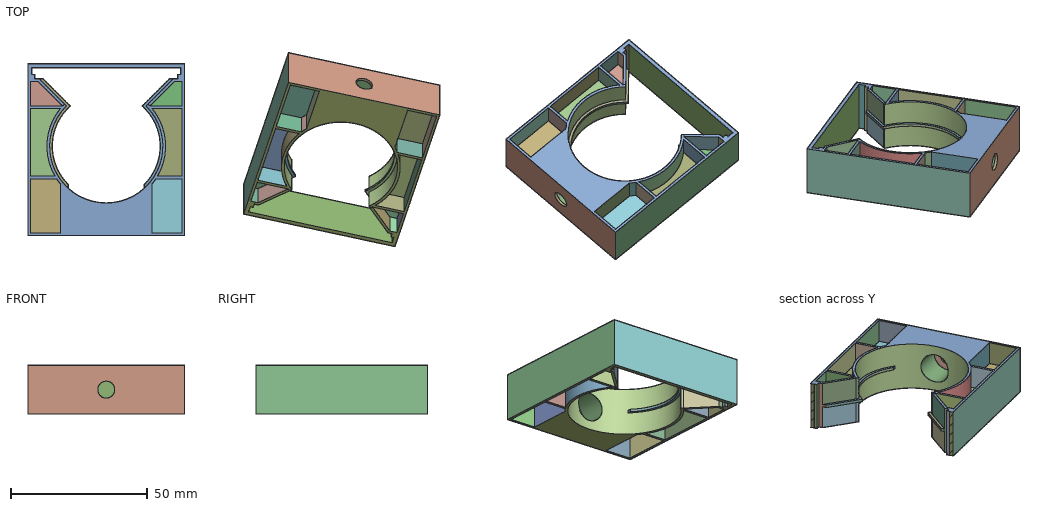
import cadquery as cq
import math

width = 57.5
length = 63.0
height = 18.0
half_width = width / 2

wall = 1.0
back_wall = 1.5
web_thickness = 1.0
web_bottom = (height - web_thickness) / 2
web_top = web_bottom + web_thickness

bore_radius = 20.75
bore_center_y = 32.75
lip_width = 1.0
lip_end_x = 13.9

notch_front_y = length - 3.9
notch_half_width = half_width - 1.5
opening_front_y = length - 5.5
opening_half_width = half_width - 2.6
lead_in_half_width = half_width - 4.15

pocket_half_width = half_width - wall
rear_rib_front_y = 46.5
front_rib_front_y = 20.8
front_pocket_inner_x = 16.75

hole_diameter = 6.2
head_diameter = 11.0
head_seat_y = 1.0


def prism(points, z_bottom, z_top):
    """Extruded polygon between two heights."""
    base = cq.Workplane("XY").workplane(offset=z_bottom)
    return base.polyline(points).close().extrude(z_top - z_bottom)


def box(x_min, x_max, y_min, y_max, z_bottom, z_top):
    """Axis-aligned block."""
    corners = [(x_min, y_min), (x_max, y_min), (x_max, y_max), (x_min, y_max)]
    return prism(corners, z_bottom, z_top)


def centered_box(half_size, y_min, y_max, z_bottom, z_top):
    """Axis-aligned block symmetric about X = 0."""
    return box(-half_size, half_size, y_min, y_max, z_bottom, z_top)


def mirrored(body):
    """Body together with its mirror image across X = 0."""
    return body.union(body.mirror("YZ"))


def passage(inset, z_bottom, z_top):
    """Bore and 45 degree lead-in, with their outline moved inwards by inset."""
    radius = bore_radius - inset
    mouth_x = lead_in_half_width - inset * math.sqrt(2)
    tangent_x = radius / math.sqrt(2)
    tangent_y = bore_center_y + tangent_x
    throat_offset = (tangent_x - mouth_x + opening_front_y - tangent_y) / 2
    throat = (tangent_x - throat_offset, tangent_y + throat_offset)
    right_side = [
        (0, bore_center_y),
        (tangent_x, tangent_y),
        throat,
        (mouth_x, opening_front_y),
        (0, opening_front_y),
    ]
    funnel = mirrored(prism(right_side, z_bottom, z_top))
    bore = (
        cq.Workplane("XY")
        .workplane(offset=z_bottom)
        .center(0, bore_center_y)
        .circle(radius)
        .extrude(z_top - z_bottom)
    )
    return bore.union(funnel)


def back_opening():
    """Stepped clearance between the back wall and the lead-in."""
    notch = centered_box(notch_half_width, notch_front_y, length - back_wall, 0, height)
    step = centered_box(opening_half_width, opening_front_y, notch_front_y, 0, height)
    return notch.union(step)


def lip():
    """Ledge left standing inside the bore at web height, ending at straight cuts beside the front wall."""
    lip_band = passage(0, web_bottom, web_top).cut(passage(lip_width, web_bottom, web_top))
    front_gap = centered_box(lip_end_x, 0, bore_center_y, web_bottom, web_top)
    return lip_band.cut(front_gap)


def pockets(z_bottom, z_top):
    """Three pockets on each side of the bore, bounded by a wall that follows the passage."""
    rows = [
        (wall, front_rib_front_y, front_pocket_inner_x),
        (front_rib_front_y + wall, rear_rib_front_y, 0),
        (rear_rib_front_y + wall, opening_front_y - wall, 0),
    ]
    blocks = cq.Workplane("XY")
    for y_min, y_max, x_min in rows:
        blocks = blocks.add(mirrored(box(x_min, pocket_half_width, y_min, y_max, z_bottom, z_top)))
    return blocks.combine().cut(passage(-wall, z_bottom, z_top))


def screw_hole():
    """Hole along Y through the front wall, widened on the bore side to take the screw head."""
    front_plane = cq.Workplane("XZ").center(0, height / 2)
    shank = front_plane.circle(hole_diameter / 2).extrude(-bore_center_y)
    head_plane = front_plane.workplane(offset=-head_seat_y)
    head = head_plane.circle(head_diameter / 2).extrude(head_seat_y - bore_center_y)
    return shank.union(head)


result = centered_box(half_width, 0, length, 0, height)
result = result.cut(passage(0, 0, height)).cut(back_opening())
result = result.cut(pockets(web_top, height)).cut(pockets(0, web_bottom))
result = result.union(lip()).cut(screw_hole())